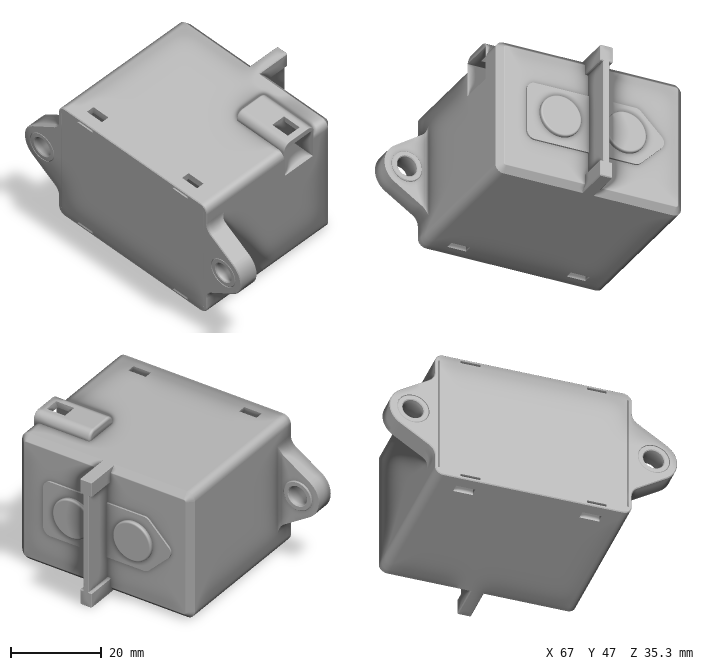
import cadquery as cq
import math


body_width = 45.8
body_height = 33.0
body_depth = 39.45
corner_radius = 2.0
back_chamfer = 1.5
back_edge_fillet = 0.3
edge_chamfer = 0.2

cover_thickness = 2.95
cavity_width = 44.2
cavity_height = 29.5
cavity_depth = 22.8
side_gap = 0.2
tab_height = 0.6
tab_inner = 12.4
tab_outer = 17.0
long_tab_inner = 6.15
ramp_rise = 0.6
window_depth = 2.0

ear_span = 67.0
ear_thickness = 4.9
ear_radius = 5.5
ear_root_half_height = 9.85
ear_side_fillet = 3.0
ear_back_fillet = 0.6
bushing_length = 5.2
bushing_radius = 3.75
bushing_bore_radius = 2.4
bushing_chamfer = 0.2

rib_end = 47.0
rib_width = 3.15
rib_bar_height = 3.95
rib_web_recess = 0.8

plate_thickness = 0.5
plate_half_height = 7.1
plate_point = -18.55
plate_end = 16.1
plate_corner_radius = 2.0
contact_spacing = 16.0
contact_radius = 5.0
contact_height = 0.95
contact_fillet = 0.4

shroud_length = 14.95
shroud_width = 9.4
shroud_middle = 28.9
shroud_height = 2.3
shroud_radius = 2.0
shroud_inner_fillet = 0.6
shroud_outer_fillet = 0.2
shroud_roof = 1.5
socket_width = 8.7
socket_height = 8.05
latch_length = 4.8
latch_width = 3.7
latch_end_wall = 1.6
latch_undercut = 0.4

half_width = body_width / 2
half_height = body_height / 2
ear_center = ear_span / 2 - ear_radius
shroud_top = half_height + shroud_height
tab_top = cavity_height / 2 + tab_height


def box(x_range, y_range, z_range):
    """Box between two limits on each axis."""
    limits = (x_range, y_range, z_range)
    size = [high - low for low, high in limits]
    corner = [low for low, high in limits]
    return cq.Workplane("XY").box(*size, centered=False).translate(tuple(corner))


def near(point):
    """Selector for the edge whose centre lies close to a point."""
    reach = 0.35
    low = tuple(value - reach for value in point)
    high = tuple(value + reach for value in point)
    return cq.selectors.BoxSelector(low, high)


def half_turn(solid):
    """Copy turned half a revolution about the Y axis through the housing."""
    return solid.rotate((0, 0, 0), (0, 1, 0), 180)


def make_ear_blank():
    """Right-hand ear: a round lobe with sides tangent to it, running into the wall."""
    root_x = half_width - ear_center
    root_distance = math.hypot(root_x, ear_root_half_height)
    tangent_angle = math.atan2(ear_root_half_height, root_x) - math.acos(ear_radius / root_distance)
    tangent_x = ear_center + ear_radius * math.cos(tangent_angle)
    tangent_z = ear_radius * math.sin(tangent_angle)
    inner_x = half_width - corner_radius
    return (
        cq.Workplane("XZ")
        .moveTo(inner_x, -ear_root_half_height)
        .lineTo(half_width, -ear_root_half_height)
        .lineTo(tangent_x, -tangent_z)
        .threePointArc((ear_center + ear_radius, 0), (tangent_x, tangent_z))
        .lineTo(half_width, ear_root_half_height)
        .lineTo(inner_x, ear_root_half_height)
        .close()
        .extrude(-ear_thickness)
    )


def make_shell():
    """Outer block with its ears, rounded long edges and chamfered back."""
    shell = box((-half_width, half_width), (0, body_depth), (-half_height, half_height))
    shell = shell.edges("|Y").fillet(corner_radius).faces(">Y").chamfer(back_chamfer)
    shell = shell.faces(">Y").edges().fillet(back_edge_fillet)
    ear = make_ear_blank()
    shell = shell.union(ear).union(half_turn(ear))

    for side in (-1, 1):
        for end in (-1, 1):
            root = (side * half_width, ear_thickness / 2, end * ear_root_half_height)
            shell = shell.edges("|Y").edges(near(root)).fillet(ear_side_fillet)
        wall = (side * half_width, ear_thickness, 0)
        shell = shell.edges("|Z").edges(near(wall)).fillet(ear_back_fillet)
    return shell.faces("<Y").chamfer(edge_chamfer)


def make_rib():
    """Barrier of two end bars joined by a thinner web."""
    y_range = (body_depth - back_chamfer, rib_end)
    half_bar = rib_width / 2
    half_web = half_bar - rib_web_recess
    bar = box((-half_bar, half_bar), y_range, (half_height - rib_bar_height, half_height))
    bar = bar.edges("|Y or >Y").chamfer(edge_chamfer)
    inner_height = half_height - rib_bar_height + edge_chamfer
    web = box((-half_web, half_web), y_range, (-inner_height, inner_height))
    web = web.faces(">Y").edges("|Z").chamfer(edge_chamfer)
    return web.union(bar).union(half_turn(bar))


def make_shroud():
    """Round-shouldered connector shroud, blended down into the housing corner."""
    left = half_width - shroud_length
    y_range = (shroud_middle - shroud_width / 2, shroud_middle + shroud_width / 2)
    shroud = box((left, half_width), y_range, (half_height - corner_radius, shroud_top))
    shroud = shroud.edges("|X and >Z").fillet(shroud_radius)
    shroud = shroud.faces("<X").edges("not <Z").fillet(shroud_inner_fillet)
    return shroud.faces(">X").edges("not <Z").fillet(shroud_outer_fillet)


def make_shroud_socket():
    """Socket open at the +X end, with a latch window whose end wall leans inward below."""
    window_end = half_width - latch_end_wall
    window_start = window_end - latch_length
    ceiling = shroud_top - shroud_roof
    y_range = (shroud_middle - socket_width / 2, shroud_middle + socket_width / 2)
    socket = box((window_start, half_width), y_range, (ceiling - socket_height, ceiling))
    window = (
        cq.Workplane("XZ", origin=(0, shroud_middle, 0))
        .moveTo(window_start, shroud_top)
        .lineTo(window_end, shroud_top)
        .lineTo(window_end - latch_undercut, ceiling)
        .lineTo(window_start, ceiling)
        .close()
        .extrude(latch_width / 2, both=True)
    )
    return socket.union(window)


def make_tabs():
    """Tabs along the upper and lower edges of the cover."""
    root = cavity_height / 2 - tab_height
    y_range = (0, cover_thickness)
    short_tab = box((-tab_outer, -tab_inner), y_range, (root, tab_top))
    long_tab = box((long_tab_inner, tab_outer), y_range, (root, tab_top))
    upper = short_tab.union(long_tab)
    return upper.union(half_turn(upper))


def make_snap_cuts():
    """Windows through the upper and lower walls, each with a lead-in ramp in front."""
    window_length = tab_outer - tab_inner
    cuts = cq.Workplane("XY")
    for window_x in (-tab_outer, tab_inner):
        window = box(
            (window_x, window_x + window_length),
            (cover_thickness, cover_thickness + window_depth),
            (0, half_height),
        )
        ramp = (
            cq.Workplane("YZ", origin=(window_x, 0, 0))
            .polyline([(0, tab_top), (0, tab_top + ramp_rise), (cover_thickness, tab_top)])
            .close()
            .extrude(window_length)
        )
        cuts = cuts.add(window).add(half_turn(window)).add(ramp).add(half_turn(ramp))
    return cuts.combine()


def make_bushing(side):
    """Sleeve in one ear, chamfered at both ends and standing slightly proud at the back."""
    bushing = cq.Workplane("XZ", origin=(side * ear_center, 0, 0))
    bushing = bushing.circle(bushing_radius).circle(bushing_bore_radius).extrude(-bushing_length)
    return bushing.faces("<Y or >Y").edges().chamfer(bushing_chamfer)


def make_cover():
    """Snap-in plate closing the front of the housing."""
    half_cover = cavity_width / 2 - side_gap
    plate = box((-half_cover, half_cover), (0, cover_thickness), (-cavity_height / 2, cavity_height / 2))
    return plate.union(make_tabs())


def make_housing():
    """Shell with rib and shroud, hollowed in front of the socket and bored for the bushings."""
    housing = make_shell().union(make_rib()).union(make_shroud())
    half_cavity = cavity_width / 2
    cavity = box((-half_cavity, half_cavity), (0, cavity_depth), (-cavity_height / 2, cavity_height / 2))
    housing = housing.cut(cavity).cut(make_tabs()).cut(make_snap_cuts()).cut(make_shroud_socket())
    for side in (-1, 1):
        bore = cq.Workplane("XZ", origin=(side * ear_center, 0, 0)).circle(bushing_radius)
        housing = housing.cut(bore.extrude(-bushing_length))
    return housing


def make_left_plate(root_x):
    """Terminal plate that narrows to a rounded point on the -X side."""
    shoulder_x = plate_point + plate_half_height
    outline = [
        (root_x, -plate_half_height),
        (shoulder_x, -plate_half_height),
        (plate_point, 0),
        (shoulder_x, plate_half_height),
        (root_x, plate_half_height),
    ]
    plate = cq.Workplane("XZ", origin=(0, body_depth, 0)).polyline(outline).close()
    plate = plate.extrude(-plate_thickness)
    return plate.edges("|Y").edges("not >X").fillet(plate_corner_radius)


def make_right_plate(root_x):
    """Square-ended terminal plate with two rounded corners."""
    plate = box(
        (root_x, plate_end),
        (body_depth, body_depth + plate_thickness),
        (-plate_half_height, plate_half_height),
    )
    return plate.edges("|Y and >X").fillet(plate_corner_radius)


def make_contact(side):
    """Round contact seated on a terminal plate."""
    seat_y = body_depth + plate_thickness
    contact = cq.Workplane("XZ", origin=(side * contact_spacing / 2, seat_y, 0))
    contact = contact.circle(contact_radius).extrude(-contact_height)
    return contact.faces(">Y").edges().fillet(contact_fillet)


housing = make_housing()
cover = make_cover()
web_face = rib_width / 2 - rib_web_recess
left_plate = make_left_plate(-web_face)
right_plate = make_right_plate(web_face)
bushings = [make_bushing(side) for side in (-1, 1)]
contacts = [make_contact(side) for side in (-1, 1)]

result = cq.Compound.makeCompound([
    housing.val(),
    cover.val(),
    left_plate.val(),
    right_plate.val(),
    *[bushing.val() for bushing in bushings],
    *[contact.val() for contact in contacts],
])